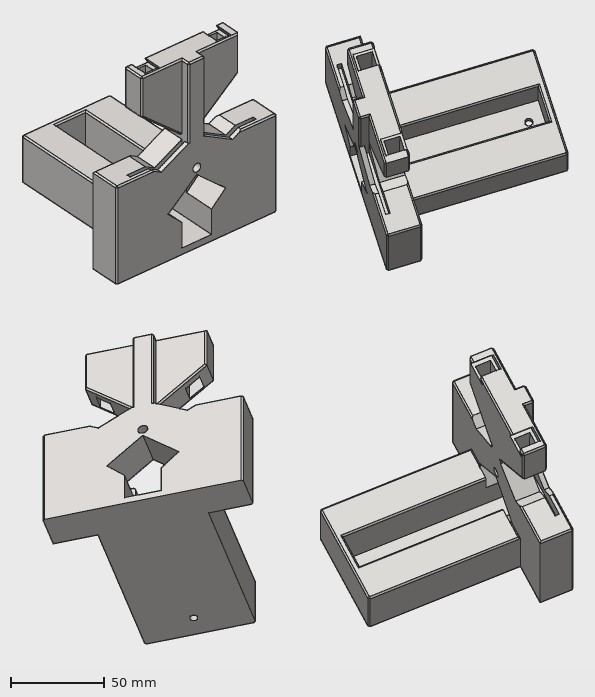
import cadquery as cq
import math

total_length = 110.0
upright_width = 112.0
total_height = 121.0
upright_thickness = 20.0
edge_chamfer = 1.0

tray_length = total_length - upright_thickness
tray_width = 62.0
tray_height = 30.0
channel_width = 20.6
end_wall = 4.2
floor_thickness = end_wall
tray_hole_x = 12.7
tray_hole_diameter = 4.2

front_x = tray_length
shoulder_z = 62.7
valley_y = 24.9
valley_z = 59.2
valley_angle = 28.3
flank_slope = math.tan(math.radians(valley_angle))
pivot_hole_z = 51.5
pivot_hole_diameter = 5.5

window_apex_z = 47.2
window_half_width = 20.1
window_throat_z = 20.6

neck_width = 11.6
neck_bottom_z = valley_z + (valley_y - neck_width / 2) * flank_slope
neck_top_z = 72.0
head_width = 68.0
head_corner_z = 95.5
head_thickness = 14.4

slot_width = 2.5
slot_outer_y = 44.0
slot_floor_z = 54.5

pocket_y = valley_y
pocket_length = 12.3
pocket_depth = 4.1
pocket_top_width = 9.5
pocket_bottom_width = 14.5
square_hole_top = 9.0
square_hole_bottom = 7.4
square_hole_offset = 6.0

cut_margin = 1.2


def box(x_start, x_end, y_start, y_end, z_start, z_end):
    """Block between two limits along each axis."""
    return cq.Workplane("XY").box(
        x_end - x_start, y_end - y_start, z_end - z_start, centered=False
    ).translate((x_start, y_start, z_start))


def plate(points, x_start, thickness):
    """Plate with a Y-Z outline, thickened toward +X."""
    return cq.Workplane("YZ").workplane(offset=x_start).polyline(points).close().extrude(thickness)


def mirrored(right_half):
    """Closed outline from the +Y half of a symmetric Y-Z shape."""
    return right_half + [(-y, z) for y, z in reversed(right_half) if y != 0]


def make_tray():
    half_width = tray_width / 2
    tray = box(0, tray_length, -half_width, half_width, 0, tray_height)
    tray = tray.edges("|Z and <X").chamfer(edge_chamfer)
    channel = box(
        end_wall, tray_length + cut_margin,
        -channel_width / 2, channel_width / 2,
        floor_thickness, tray_height + cut_margin,
    )
    tray = tray.cut(channel).faces(">Z").edges().chamfer(edge_chamfer)
    hole = cq.Workplane("XY").center(tray_hole_x, 0).circle(tray_hole_diameter / 2)
    return tray.cut(hole.extrude(tray_height))


def make_base():
    half_width = upright_width / 2
    base = box(front_x, total_length, -half_width, half_width, 0, shoulder_z)
    base = base.edges("(|Z and >X) or (|Z and >Y) or >Z").chamfer(edge_chamfer)

    valley_edge_y = valley_y + (shoulder_z - valley_z) / flank_slope
    valley_inner_y = valley_y - (shoulder_z - valley_z) / flank_slope
    for side in (1, -1):
        valley = [
            (side * valley_inner_y, shoulder_z),
            (side * valley_y, valley_z),
            (side * valley_edge_y, shoulder_z),
        ]
        base = base.cut(plate(valley, front_x, upright_thickness))
    hump = mirrored([(neck_width / 2, neck_bottom_z), (valley_y, valley_z)])
    return base.union(plate(hump, front_x, upright_thickness))


def make_window():
    half_channel = channel_width / 2
    outline = mirrored([
        (0, window_apex_z),
        (window_half_width, tray_height),
        (half_channel, window_throat_z),
        (half_channel, floor_thickness),
    ])
    return plate(outline, front_x - edge_chamfer, upright_thickness + edge_chamfer)


def make_pivot_hole():
    hole = cq.Workplane("YZ").workplane(offset=front_x).center(0, pivot_hole_z)
    return hole.circle(pivot_hole_diameter / 2).extrude(upright_thickness)


def make_slot(side):
    y_limits = sorted((side * neck_width / 2, side * slot_outer_y))
    slot_x = front_x + head_thickness
    return box(slot_x, slot_x + slot_width, *y_limits, slot_floor_z, total_height)


def make_head():
    outline = mirrored([
        (neck_width / 2, neck_top_z),
        (head_width / 2, head_corner_z),
        (head_width / 2, total_height),
    ])
    head = plate(outline, front_x, head_thickness)
    rims = head.faces("<X or >X").edges("not <Z")
    head = rims.add(head.faces(">Z").edges("<Y")).chamfer(edge_chamfer)
    neck = box(
        front_x, front_x + head_thickness,
        -neck_width / 2, neck_width / 2,
        neck_bottom_z, neck_top_z,
    )
    return head.union(neck)


def make_rib():
    rib_front_x = front_x + head_thickness - edge_chamfer
    rib = box(
        rib_front_x, total_length,
        -neck_width / 2, neck_width / 2,
        neck_bottom_z, total_height,
    )
    return rib.edges("(|Z and >X) or (>Z and (not <X))").chamfer(edge_chamfer)


def make_pocket(side):
    floor_z = total_height - pocket_depth
    center_y = side * pocket_y
    dovetail = [
        (center_y - pocket_top_width / 2, total_height),
        (center_y + pocket_top_width / 2, total_height),
        (center_y + pocket_bottom_width / 2, floor_z),
        (center_y - pocket_bottom_width / 2, floor_z),
    ]
    hole_x = front_x + square_hole_offset
    square_hole = cq.Workplane("XY", origin=(hole_x, center_y, neck_top_z))
    square_hole = square_hole.rect(square_hole_bottom, square_hole_bottom)
    square_hole = square_hole.workplane(offset=floor_z - neck_top_z)
    square_hole = square_hole.rect(square_hole_top, square_hole_top).loft()
    return plate(dovetail, front_x, pocket_length).union(square_hole)


body = make_base().union(make_tray()).cut(make_window()).cut(make_pivot_hole())
head = make_head()
for side in (1, -1):
    body = body.cut(make_slot(side))
    head = head.cut(make_pocket(side))

result = body.union(head).union(make_rib())